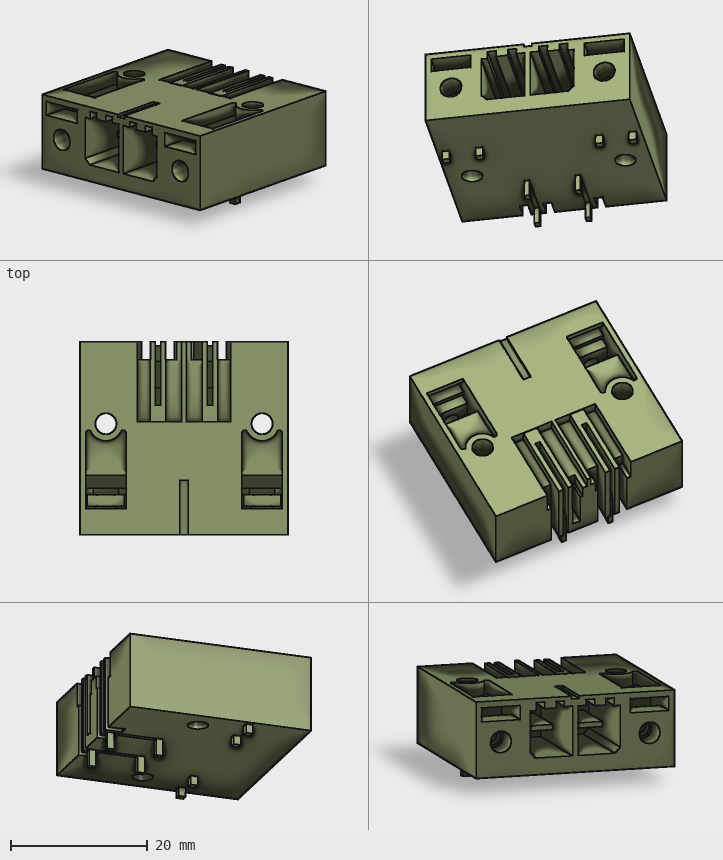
import cadquery as cq
import math

WIDTH = 30.48
LENGTH = 28.3
HEIGHT = 11.43
FRONT = -LENGTH / 2
BACK = LENGTH / 2
SIDES = (-1, 1)

STATION_X = 11.43
MOUNT_HOLE_Y = BACK - 12.0
MOUNT_HOLE_DIAMETER = 3.05
BOSS_RADIUS = 2.5
POCKET_WIDTH = 5.9
POCKET_FRONT = FRONT + 3.87
POCKET_END = MOUNT_HOLE_Y - 1.4
POCKET_END_RADIUS = 0.45
PLATFORM_Z = HEIGHT - 2.05
PLATFORM_FRONT = FRONT + 8.78
SILL_Z = HEIGHT - 3.02
WINDOW_TOP_Z = HEIGHT - 0.9
SCREW_Z = HEIGHT - 6.2
SCREW_HOLE_DIAMETER = 3.17
NUT_WALL_NOTCH_DIAMETER = 3.78
NUT_WALL_BACK = FRONT + 6.85

NUT_SIZE = 5.4
NUT_THICKNESS = 1.65
NUT_THREAD_DIAMETER = 2.5
NUT_SLOT_FRONT = FRONT + 4.1
NUT_SLOT_BACK = FRONT + 5.88
NUT_BOTTOM_Z = SCREW_Z - NUT_SIZE / 2

PIN_SIZE = 1.07
PIN_OFFSET_X = 2.5
PIN_Y = FRONT + 9.35
PIN_DROP = 1.37
PIN_INSERTION = 1.83

CONTACT_X = 3.8
CONTACT_THICKNESS = 0.75
CONTACT_BACK = BACK - 0.58
CONTACT_FRONT = BACK - 9.27
CONTACT_SHOULDER_Y = BACK - 6.7
CONTACT_SLOPE_LENGTH = 2.25
LEG_WIDTH = PIN_SIZE
LEG_DROP = 2.55
BLADE_WIDTH = 4.57
BLADE_TOP_Z = HEIGHT - 5.3
BLADE_BOTTOM_Z = BLADE_TOP_Z - CONTACT_THICKNESS
BLADE_TIP_Y = FRONT + 6.1

CHAMBER_DEPTH = 15.25
CHAMBER_INNER_X = 0.43
CHAMBER_OUTER_X = 6.92
CHAMBER_FLOOR_Z = HEIGHT - 8.9
CHAMBER_CHAMFER = 0.85
INNER_ROOF_Z = HEIGHT - 1.5
MIDDLE_ROOF_Z = HEIGHT - 1.62
OUTER_ROOF_Z = HEIGHT - 1.8
KEYWAY_TOP_Z = HEIGHT - 0.65
KEYWAY_WIDTH = 1.28
KEYWAY_INNER_X = 1.68
KEYWAY_OUTER_X = 4.7

BAY_INNER_X = 0.3
BAY_OUTER_X = 6.83
BAY_LENGTH = 11.7
BAY_FLOOR_Z = HEIGHT - 1.65
RIB_WIDTH = 2.25
RIB_TOP_Z = HEIGHT - 0.12
RIB_INNER_X = CONTACT_X - RIB_WIDTH / 2
RIB_OUTER_X = CONTACT_X + RIB_WIDTH / 2
GAP_LENGTH = 2.62
GAP_INNER_X = 1.43
GAP_OUTER_X = 6.2
LEDGE_INNER_X = 1.07
LEDGE_Z = HEIGHT - 3.65

WEB_HEIGHT = 1.83
WEB_HOLLOW_END_X = 2.07
WEB_HOLLOW_RADIUS = 1.98

GROOVE_WIDTH = 1.2
GROOVE_LENGTH = 8.0
GROOVE_DEPTH = 0.4


def block(x_range, y_range, z_range):
    """Box between two limits on each axis; the limits of an axis may come in either order."""
    limits = [sorted(axis) for axis in (x_range, y_range, z_range)]
    sizes = [high - low for low, high in limits]
    corner = [low for low, high in limits]
    return cq.Workplane("XY").box(*sizes, centered=False).translate(tuple(corner))


def centred(middle, width):
    return (middle - width / 2, middle + width / 2)


def upright_cylinder(x, y, diameter, z_range):
    bottom, top = z_range
    return cq.Workplane("XY", origin=(x, y, bottom)).circle(diameter / 2).extrude(top - bottom)


def lengthwise_cylinder(x, z, diameter, y_range):
    """Cylinder along Y."""
    front, back = y_range
    return cq.Workplane("XZ", origin=(x, front, z)).circle(diameter / 2).extrude(front - back)


def station_pocket(x):
    """Pocket in the top: a platform around the boss at the back, an open sill at the front."""
    z_range = (PLATFORM_Z, HEIGHT)
    pocket = block(centred(x, POCKET_WIDTH), (POCKET_FRONT, POCKET_END), z_range)
    end_offset = POCKET_WIDTH / 2 - POCKET_END_RADIUS
    for side in SIDES:
        end = upright_cylinder(x + side * end_offset, POCKET_END, 2 * POCKET_END_RADIUS, z_range)
        pocket = pocket.union(end)
    pocket = pocket.cut(upright_cylinder(x, MOUNT_HOLE_Y, 2 * BOSS_RADIUS, z_range))
    front_part = block(centred(x, POCKET_WIDTH), (POCKET_FRONT, PLATFORM_FRONT), (SILL_Z, HEIGHT))
    return pocket.union(front_part)


def station_cutout(x):
    """Everything removed from the housing at one screw station."""
    across = centred(x, POCKET_WIDTH)
    mount_hole = upright_cylinder(x, MOUNT_HOLE_Y, MOUNT_HOLE_DIAMETER, (0, HEIGHT))
    window = block(across, (FRONT, POCKET_FRONT), (SILL_Z, WINDOW_TOP_Z))
    nut_slot = block(across, (NUT_SLOT_FRONT, NUT_SLOT_BACK), (NUT_BOTTOM_Z, SILL_Z))
    screw_hole = lengthwise_cylinder(x, SCREW_Z, SCREW_HOLE_DIAMETER, (FRONT, NUT_SLOT_FRONT))
    wall_top = block(across, (NUT_SLOT_BACK, NUT_WALL_BACK), (SCREW_Z, SILL_Z))
    wall_notch = lengthwise_cylinder(x, SCREW_Z, NUT_WALL_NOTCH_DIAMETER, (NUT_SLOT_BACK, NUT_WALL_BACK))
    well = block(across, (NUT_WALL_BACK, PLATFORM_FRONT), (NUT_BOTTOM_Z, SILL_Z))
    cutout = station_pocket(x)
    for part in (mount_hole, window, nut_slot, screw_hole, wall_top, wall_notch, well):
        cutout = cutout.union(part)
    return cutout


def plug_chamber(side):
    """Chamber with two keyways in its roof and a chamfered outer bottom edge."""
    outline = [
        (CHAMBER_INNER_X, CHAMBER_FLOOR_Z),
        (CHAMBER_INNER_X, INNER_ROOF_Z),
        (KEYWAY_INNER_X, INNER_ROOF_Z),
        (KEYWAY_INNER_X, KEYWAY_TOP_Z),
        (KEYWAY_INNER_X + KEYWAY_WIDTH, KEYWAY_TOP_Z),
        (KEYWAY_INNER_X + KEYWAY_WIDTH, MIDDLE_ROOF_Z),
        (KEYWAY_OUTER_X, MIDDLE_ROOF_Z),
        (KEYWAY_OUTER_X, KEYWAY_TOP_Z),
        (KEYWAY_OUTER_X + KEYWAY_WIDTH, KEYWAY_TOP_Z),
        (KEYWAY_OUTER_X + KEYWAY_WIDTH, OUTER_ROOF_Z),
        (CHAMBER_OUTER_X, OUTER_ROOF_Z),
        (CHAMBER_OUTER_X, CHAMBER_FLOOR_Z + CHAMBER_CHAMFER),
        (CHAMBER_OUTER_X - CHAMBER_CHAMFER, CHAMBER_FLOOR_Z),
    ]
    mirrored = [(side * x, z) for x, z in outline]
    return cq.Workplane("XZ", origin=(0, FRONT, 0)).polyline(mirrored).close().extrude(-CHAMBER_DEPTH)


def rear_bay(side):
    """Bay beside a contact rib, with gaps down to the underside at the back and the contact slot."""
    bay_y = (BACK - BAY_LENGTH, BACK)
    gap_y = (BACK - GAP_LENGTH, BACK)

    def across(inner, outer):
        return (side * inner, side * outer)

    inner_floor = block(across(BAY_INNER_X, RIB_INNER_X), bay_y, (BAY_FLOOR_Z, HEIGHT))
    outer_floor = block(across(RIB_OUTER_X, BAY_OUTER_X), bay_y, (BAY_FLOOR_Z, HEIGHT))
    inner_ledge = block(across(LEDGE_INNER_X, RIB_INNER_X), gap_y, (LEDGE_Z, HEIGHT))
    outer_ledge = block(across(RIB_OUTER_X, BAY_OUTER_X), gap_y, (LEDGE_Z, HEIGHT))
    inner_gap = block(across(GAP_INNER_X, RIB_INNER_X), gap_y, (0, HEIGHT))
    outer_gap = block(across(RIB_OUTER_X, GAP_OUTER_X), gap_y, (0, HEIGHT))
    rib_top = block(across(RIB_INNER_X, RIB_OUTER_X), bay_y, (RIB_TOP_Z, HEIGHT))
    slot = block(centred(side * CONTACT_X, CONTACT_THICKNESS), (CONTACT_FRONT, BACK), (0, HEIGHT))
    bay = inner_floor
    for part in (outer_floor, inner_ledge, outer_ledge, inner_gap, outer_gap, rib_top, slot):
        bay = bay.union(part)
    return bay


def gap_web():
    """Web in the inner gap on the +X side; its top rises along a hollow arc to a flat."""
    hollow_width = WEB_HOLLOW_END_X - GAP_INNER_X
    arc_centre_z = WEB_HEIGHT + math.sqrt(WEB_HOLLOW_RADIUS**2 - hollow_width**2)
    arc_middle_offset = hollow_width / 2
    arc_middle_z = arc_centre_z - math.sqrt(WEB_HOLLOW_RADIUS**2 - arc_middle_offset**2)
    return (
        cq.Workplane("XZ", origin=(0, BACK - GAP_LENGTH, 0))
        .moveTo(GAP_INNER_X, 0)
        .lineTo(GAP_INNER_X, arc_centre_z - WEB_HOLLOW_RADIUS)
        .threePointArc((GAP_INNER_X + arc_middle_offset, arc_middle_z), (WEB_HOLLOW_END_X, WEB_HEIGHT))
        .lineTo(RIB_INNER_X, WEB_HEIGHT)
        .lineTo(RIB_INNER_X, 0)
        .close()
        .extrude(-GAP_LENGTH)
    )


def contact(side):
    """Contact plate with two legs and a sloping back shoulder, joined to its flat blade."""
    x = side * CONTACT_X
    slope_top_y = CONTACT_BACK - CONTACT_SLOPE_LENGTH
    profile = [
        (CONTACT_FRONT, -LEG_DROP),
        (CONTACT_FRONT, BLADE_TOP_Z),
        (CONTACT_SHOULDER_Y, BLADE_TOP_Z),
        (CONTACT_SHOULDER_Y, BLADE_BOTTOM_Z),
        (slope_top_y, BLADE_BOTTOM_Z),
        (CONTACT_BACK, BLADE_BOTTOM_Z - CONTACT_SLOPE_LENGTH),
        (CONTACT_BACK, -LEG_DROP),
        (CONTACT_BACK - LEG_WIDTH, -LEG_DROP),
        (CONTACT_BACK - LEG_WIDTH, 0),
        (CONTACT_FRONT + LEG_WIDTH, 0),
        (CONTACT_FRONT + LEG_WIDTH, -LEG_DROP),
    ]
    plate = (
        cq.Workplane("YZ", origin=(x, 0, 0))
        .polyline(profile)
        .close()
        .extrude(CONTACT_THICKNESS / 2, both=True)
    )
    blade = block(
        centred(x, BLADE_WIDTH), (BLADE_TIP_Y, CONTACT_FRONT), (BLADE_BOTTOM_Z, BLADE_TOP_Z)
    )
    return plate.union(blade)


def fixing_pin(x):
    return block(centred(x, PIN_SIZE), centred(PIN_Y, PIN_SIZE), (-PIN_DROP, PIN_INSERTION))


def nut(x):
    """Square nut standing on the bottom of its slot, against the back of the slot."""
    y_range = (NUT_SLOT_BACK - NUT_THICKNESS, NUT_SLOT_BACK)
    body = block(centred(x, NUT_SIZE), y_range, centred(SCREW_Z, NUT_SIZE))
    return body.cut(lengthwise_cylinder(x, SCREW_Z, NUT_THREAD_DIAMETER, y_range))


def make_housing(inserted_bodies):
    """Housing with all its openings; the inserted bodies leave exactly matching seats."""
    housing = block(centred(0, WIDTH), (FRONT, BACK), (0, HEIGHT))
    for side in SIDES:
        housing = housing.cut(station_cutout(side * STATION_X))
        housing = housing.cut(plug_chamber(side))
        housing = housing.cut(rear_bay(side))
    housing = housing.union(gap_web())
    groove = block(
        centred(0, GROOVE_WIDTH), (FRONT, FRONT + GROOVE_LENGTH), (HEIGHT - GROOVE_DEPTH, HEIGHT)
    )
    housing = housing.cut(groove)
    for body in inserted_bodies:
        housing = housing.cut(body)
    return housing


contacts = [contact(side) for side in SIDES]
nuts = [nut(side * STATION_X) for side in SIDES]
fixing_pins = [
    fixing_pin(side * STATION_X + end * PIN_OFFSET_X) for side in SIDES for end in SIDES
]
housing = make_housing(contacts + fixing_pins)

result = cq.Compound.makeCompound(
    [housing.val(), *[body.val() for body in contacts + nuts + fixing_pins]]
)